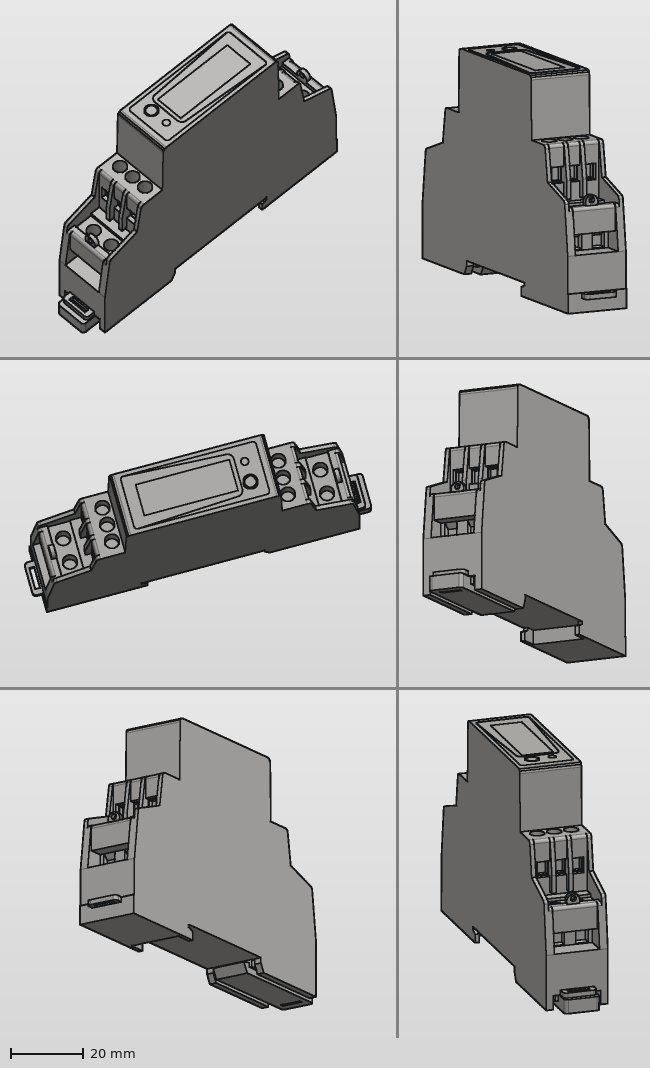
import cadquery as cq
import math


width = 18.1
total_height = 63.5
foot_half = 44.9
knee_z = 16.3
brow_half = 42.9
brow_z = 31.3
step_half = 32.4
step_z = 34.9
shoulder_half = 30.8
shoulder_z = 45.2
tower_base_half = 22.6
tower_top_half = 22.3
tower_corner = 1.3
tower_corner_facets = 3
edge_round = 1.2

rail_z = 4.1
rail_back_y = 17.9
rail_lip_y = 16.1
rail_lip_top_z = 3.3
rail_lip_low_z = 2.5
rail_front_y = -17.6
rail_front_foot_y = -19.0
hook_recess_half = 7.8
hook_recess_end = 21.4

loop_top_z = 5.55
loop_end = 47.9
loop_half_width = 4.9
loop_round = 1.1
loop_slot_half = 3.1
loop_slot_inner = 45.5
loop_slot_outer = 46.8
heel_depth = 0.3

bay_half = 7.8
bay_wall_y = 30.7
inner_floor_z = 28.7
inner_floor_end = 33.9
hole_floor_z = 27.8
lip_start = 40.3
lip_z = 29.3
window_half = 6.6
front_wall_y = 43.0
lip_side_y = 43.3
wall_round = 1.0
pocket_top_z = 21.7
pocket_wall_y = 38.7
rib_pitch = 5.0
rib_width = 1.3
rib_bottom_z = 29.6
hole_radius = 2.0
hole_depth = 5.4
upper_hole_y = 25.3
lower_hole_y = 37.0
lower_hole_spacing = 7.0
opening_width = 3.7
frame_depth = 1.5
upper_opening_depth = 2.9
funnel_depth = 1.2
upper_opening_bottom_z = 34.1
upper_opening_top_z = 38.6
frame_width = 0.3
lower_inner_width = 2.9
lower_opening_bottom_z = 16.55
lower_inner_bottom_z = 16.9
lower_inner_top_z = 20.0
eyelet_radius = 1.9
eyelet_hole_radius = 0.8
eyelet_z = 30.3
eyelet_hole_z = 30.9
eyelet_thickness = 1.5

clip_channel_half = 6.9
clip_half = 5.2
clip_front = 49.5
clip_round = 1.0
clip_rail_half = 6.0
clip_rail_z = 2.0
clip_tip_y = -14.9
clip_tip_z = 2.8
clip_hook_foot_y = -16.6
clip_slot_outer = 46.4

panel_half_width = 7.8
panel_half_length = 19.5
panel_thickness = 1.0
panel_round = 1.0
field_end_half = 6.1
field_end_y = -12.4
field_round = 1.8
field_depth = 0.1
display_half_width = 4.6
display_back_y = 15.9
display_front_y = -11.1
control_y = -15.1
button_x = -3.0
button_radius = 1.7
button_hole_radius = 2.0
indicator_x = 2.9
indicator_radius = 1.1


def block(x_half, y0, y1, z0, z1):
    """Box centred on X between two Y and two Z planes."""
    return cq.Workplane("XY").box(2 * x_half, y1 - y0, z1 - z0).translate((0, (y0 + y1) / 2, (z0 + z1) / 2))


def yz_prism(points, x_half):
    """Outline in the YZ plane, extruded symmetrically along X."""
    return cq.Workplane("YZ").polyline(points).close().extrude(x_half, both=True)


def upright(x, y, radius, z0, z1):
    """Upright cylinder between two heights."""
    return cq.Workplane("XY", origin=(0, 0, z0)).center(x, y).circle(radius).extrude(z1 - z0)


def both_ends(front):
    """Front-end shape together with its mirror image at the back end."""
    return front.union(front.mirror("XZ"))


def profile_half(side):
    """Profile points from the foot up to the top of the tower, on one side of Y."""
    points = [
        (side * foot_half, 0),
        (side * foot_half, knee_z),
        (side * brow_half, brow_z),
        (side * step_half, step_z),
        (side * shoulder_half, shoulder_z),
        (side * tower_base_half, shoulder_z),
    ]
    for i in range(tower_corner_facets + 1):
        angle = math.radians(90 * i / tower_corner_facets)
        y = tower_top_half - tower_corner * (1 - math.cos(angle))
        z = total_height - tower_corner * (1 - math.sin(angle))
        points.append((side * y, z))
    return points


def housing_envelope():
    body = yz_prism(profile_half(-1) + profile_half(1)[::-1], width / 2)
    for half, z in ((shoulder_half, shoulder_z), (brow_half, brow_z)):
        for y in (-half, half):
            nearby = cq.selectors.BoxSelector((-1, y - 0.1, z - 0.1), (1, y + 0.1, z + 0.1))
            body = body.edges("|X").edges(nearby).fillet(edge_round)
    return body


def rail_notch():
    return yz_prism(
        [
            (rail_front_foot_y, 0),
            (rail_front_y, rail_lip_low_z),
            (rail_front_y, rail_z),
            (rail_back_y, rail_z),
            (rail_back_y, rail_lip_top_z),
            (rail_lip_y, rail_lip_low_z),
            (rail_lip_y, 0),
        ],
        width / 2,
    )


def front_loop():
    """Flat slotted loop standing out of the end wall."""
    loop = block(loop_half_width, -loop_end, -foot_half, rail_z, loop_top_z)
    loop = loop.edges("|Z and <Y").fillet(loop_round)
    return loop.cut(block(loop_slot_half, -loop_slot_outer, -loop_slot_inner, rail_z, loop_top_z))


def top_rounding(x_half, wall_y, top_z):
    """Material to remove to round the top edge of a wall that faces -Y."""
    corner = block(x_half, -foot_half, -wall_y + wall_round, top_z - wall_round, top_z)
    wall = block(x_half, -wall_y, -wall_y + 2 * wall_round, top_z - 2 * wall_round, top_z)
    return corner.cut(wall.edges("|X and <Y and >Z").fillet(wall_round))


def bay_cut():
    """Open space between the side walls of one terminal end, with its ribs left standing."""
    floors = [
        (bay_wall_y, inner_floor_end, inner_floor_z),
        (inner_floor_end, lip_start, hole_floor_z),
        (lip_start, foot_half, lip_z),
    ]
    space = top_rounding(bay_half, bay_wall_y, shoulder_z)
    for start, end, floor_z in floors:
        space = space.union(block(bay_half, -end, -start, floor_z, shoulder_z))
    for x in (-rib_pitch / 2, rib_pitch / 2):
        rib = block(rib_width / 2, -step_half, -bay_wall_y + wall_round, rib_bottom_z, shoulder_z)
        space = space.cut(rib.translate((x, 0, 0)))
    return space


def front_window_cut():
    """Recess in the lower wall below the rounded lip, and the deep pocket at its foot."""
    recess = block(window_half, -foot_half, -front_wall_y, knee_z, lip_z)
    pocket = block(window_half, -front_wall_y, -pocket_wall_y, knee_z, pocket_top_z)
    middle_rounding = top_rounding(window_half, front_wall_y, lip_z)
    side_rounding = top_rounding(bay_half, lip_side_y, lip_z)
    return recess.union(pocket).union(middle_rounding).union(side_rounding)


def upper_terminal_cut(x):
    """Screw hole and stepped wire opening of an upper terminal."""
    half = opening_width / 2
    low = upper_opening_bottom_z
    high = upper_opening_top_z
    frame = block(half, -bay_wall_y, -bay_wall_y + frame_depth, low, high)
    inner = block(
        half - frame_width,
        -bay_wall_y,
        -bay_wall_y + upper_opening_depth,
        low + frame_width,
        high - frame_width,
    )
    screw = upright(0, -upper_hole_y, hole_radius, shoulder_z - hole_depth, shoulder_z)
    return frame.union(inner).union(screw).translate((x, 0, 0))


def lower_terminal_cut(x):
    """Screw hole and funnel-shaped wire opening of a lower terminal."""
    outer_middle = (pocket_top_z + lower_opening_bottom_z) / 2
    inner_middle = (lower_inner_top_z + lower_inner_bottom_z) / 2
    funnel = (
        cq.Workplane("XZ", origin=(0, -pocket_wall_y, outer_middle))
        .rect(opening_width, pocket_top_z - lower_opening_bottom_z)
        .workplane(offset=-funnel_depth)
        .center(0, inner_middle - outer_middle)
        .rect(lower_inner_width, lower_inner_top_z - lower_inner_bottom_z)
        .loft()
    )
    screw = upright(0, -lower_hole_y, hole_radius, hole_floor_z - hole_depth, hole_floor_z)
    return funnel.union(screw).translate((x, 0, 0))


def eyelet():
    """Sealing eyelet standing on the lip."""
    plane = cq.Workplane("XZ", origin=(0, -lip_start, 0))
    disc = plane.center(0, eyelet_z).circle(eyelet_radius).extrude(eyelet_thickness)
    hole = plane.center(0, eyelet_hole_z).circle(eyelet_hole_radius).extrude(eyelet_thickness)
    below_lip = block(eyelet_radius, -foot_half, -lip_start, 0, lip_z)
    return disc.cut(hole).cut(below_lip)


def front_terminal_cuts():
    cuts = bay_cut().union(front_window_cut())
    for x in (-rib_pitch, 0, rib_pitch):
        cuts = cuts.union(upper_terminal_cut(x))
    for x in (-lower_hole_spacing / 2, lower_hole_spacing / 2):
        cuts = cuts.union(lower_terminal_cut(x))
    return cuts


def clip_channel():
    return block(clip_channel_half, -foot_half, rail_front_y, 0, rail_z)


def hook_recess():
    return block(hook_recess_half, rail_lip_y, hook_recess_end, 0, rail_z)


def panel_blank():
    return block(
        panel_half_width, -panel_half_length, panel_half_length, total_height - panel_thickness, total_height
    ).edges("|Z").fillet(panel_round)


def make_housing():
    heel = block(width / 2, foot_half, foot_half + heel_depth, 0, loop_top_z)
    body = housing_envelope().union(heel).cut(rail_notch())
    body = body.cut(both_ends(front_terminal_cuts()))
    body = body.union(both_ends(front_loop())).union(both_ends(eyelet()))
    return body.cut(clip_channel()).cut(hook_recess()).cut(panel_blank())


def make_clip():
    """Sliding bar with a pull tab in front and the spring hook at the rail notch."""
    bar = yz_prism(
        [
            (-clip_front, 0),
            (-clip_front, rail_z),
            (rail_front_y, rail_z),
            (rail_front_y, rail_lip_top_z),
            (clip_tip_y, clip_tip_z),
            (clip_hook_foot_y, 0),
        ],
        clip_half,
    )
    bar = bar.edges("|Z and <Y").fillet(clip_round)
    guides = block(clip_rail_half, -foot_half + loop_round, rail_front_y, clip_rail_z, rail_z)
    slot = block(loop_slot_half, -clip_slot_outer, -loop_slot_inner, 0, rail_z)
    return bar.union(guides).cut(slot)


def make_display():
    return block(
        display_half_width,
        display_front_y,
        display_back_y,
        total_height - panel_thickness,
        total_height - field_depth,
    )


def control(x, radius):
    """Round control or its hole through the panel."""
    return upright(x, control_y, radius, total_height - panel_thickness, total_height)


def display_field():
    """Shallow field that tapers from the full panel width towards the controls."""
    outline = [
        (-panel_half_width, panel_half_length),
        (panel_half_width, panel_half_length),
        (field_end_half, field_end_y),
        (-field_end_half, field_end_y),
    ]
    field = cq.Workplane("XY", origin=(0, 0, total_height)).polyline(outline).close().extrude(-field_depth)
    return field.edges("|Z").edges("<Y").fillet(field_round)


def make_panel():
    panel = panel_blank().cut(display_field()).cut(make_display())
    return panel.cut(control(button_x, button_hole_radius)).cut(control(indicator_x, indicator_radius))


housing = make_housing()
clip = make_clip()
panel = make_panel()
display = make_display()
button = control(button_x, button_radius)
indicator = control(indicator_x, indicator_radius)

result = cq.Compound.makeCompound(
    [housing.val(), clip.val(), panel.val(), display.val(), button.val(), indicator.val()]
)